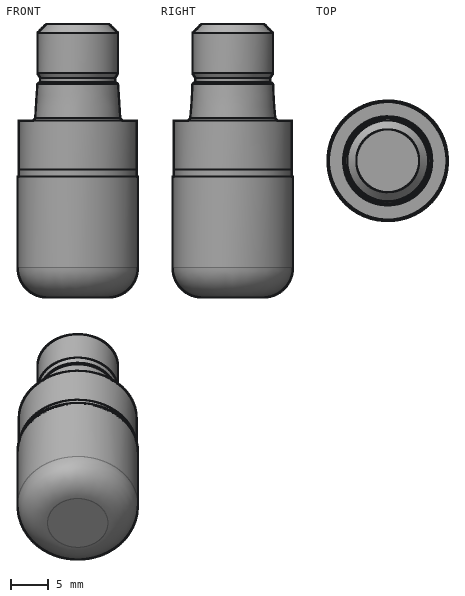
import cadquery as cq

total_height = 36.3
chamfer_height = 1.2
thread_bottom = 29.8
groove_top = 29.15
groove_bottom = 28.6
neck_top = 28.3
neck_bottom = 23.8
collar_top = 23.5
spigot_top = 17.02
cap_shoulder = 16.05

stud_radius = 5.37
stud_tip_radius = stud_radius - chamfer_height
groove_radius = 5.0
neck_base_radius = 5.65
flare_radius = 5.9
collar_radius = 7.85
spigot_radius = 7.8
cap_diameter = 16.0
cap_radius = cap_diameter / 2
cap_corner_radius = 4.0


def make_stud():
    """Grooved stud with a tapered neck and a collar, with a recess below for the cap spigot."""
    profile = (
        cq.Workplane("XZ")
        .moveTo(0, total_height)
        .lineTo(stud_tip_radius, total_height)
        .lineTo(stud_radius, total_height - chamfer_height)
        .lineTo(stud_radius, thread_bottom)
        .lineTo(groove_radius, groove_top)
        .lineTo(groove_radius, groove_bottom)
        .lineTo(stud_radius, neck_top)
        .lineTo(neck_base_radius, neck_bottom)
        .lineTo(flare_radius, collar_top)
        .lineTo(collar_radius, collar_top)
        .lineTo(collar_radius, cap_shoulder)
        .lineTo(spigot_radius, cap_shoulder)
        .lineTo(spigot_radius, spigot_top)
        .lineTo(0, spigot_top)
        .close()
    )
    return profile.revolve(360, (0, 0, 0), (0, 1, 0))


def make_cap():
    """Cylindrical cap with a round bottom corner and a spigot on top."""
    profile = (
        cq.Workplane("XZ")
        .lineTo(cap_radius - cap_corner_radius, 0)
        .radiusArc((cap_radius, cap_corner_radius), -cap_corner_radius)
        .lineTo(cap_radius, cap_shoulder)
        .lineTo(spigot_radius, cap_shoulder)
        .lineTo(spigot_radius, spigot_top)
        .lineTo(0, spigot_top)
        .close()
    )
    return profile.revolve(360, (0, 0, 0), (0, 1, 0))


stud = make_stud()
cap = make_cap()
result = cq.Compound.makeCompound([stud.val(), cap.val()])